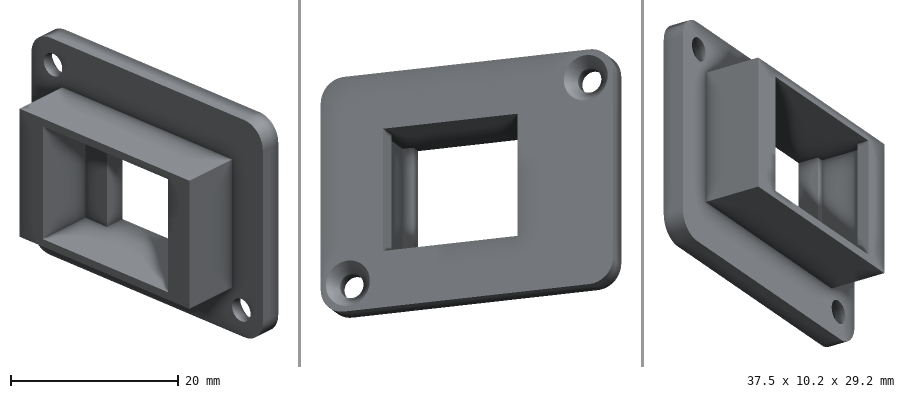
import cadquery as cq
import math

plate_width = 37.5
plate_height = 29.25
plate_thickness = 2.75
corner_radius = 3.0

hole_diameter = 3.0
hole_edge_distance = 3.5
countersink_diameter = 5.63
countersink_depth = 1.28

housing_width = 27.55
housing_height = 17.25
housing_depth = 7.5

opening_height = 15.23
socket_left = -10.0
ledge_left = -6.53
lip_right = 10.28
recess_right = 11.65
ridge_right = 10.73
lip_depth = 1.55

housing_front = -housing_depth
lip_back = housing_front + lip_depth


def box_between(x_range, y_range, height):
    """Box spanning the given X and Y ranges, centred on Z = 0."""
    x_min, x_max = x_range
    y_min, y_max = y_range
    return (
        cq.Workplane("XY")
        .box(x_max - x_min, y_max - y_min, height, centered=(False, False, True))
        .translate((x_min, y_min, 0))
    )


def make_plate():
    """Rounded flange with two diagonal holes, countersunk from the +Y face."""
    hole_x = plate_width / 2 - hole_edge_distance
    hole_z = plate_height / 2 - hole_edge_distance
    plate = box_between(
        (-plate_width / 2, plate_width / 2), (0, plate_thickness), plate_height
    )
    plate = plate.edges("|Y").fillet(corner_radius)
    cone_angle = 2 * math.degrees(
        math.atan((countersink_diameter - hole_diameter) / 2 / countersink_depth)
    )
    return (
        plate.faces(">Y")
        .workplane(origin=(0, plate_thickness, 0))
        .pushPoints([(hole_x, hole_z), (-hole_x, -hole_z)])
        .cskHole(hole_diameter, countersink_diameter, cone_angle)
    )


def make_opening():
    """Stepped through opening that leaves a front lip and ledges in the plate."""
    profile = [
        (socket_left, housing_front),
        (lip_right, housing_front),
        (lip_right, lip_back),
        (recess_right, lip_back),
        (recess_right, 0),
        (ridge_right, 0),
        (ridge_right, plate_thickness),
        (ledge_left, plate_thickness),
        (ledge_left, 0),
        (socket_left, 0),
    ]
    return (
        cq.Workplane("XY")
        .polyline(profile)
        .close()
        .extrude(opening_height / 2, both=True)
    )


housing = box_between(
    (-housing_width / 2, housing_width / 2), (housing_front, 0), housing_height
)
result = make_plate().union(housing).cut(make_opening())